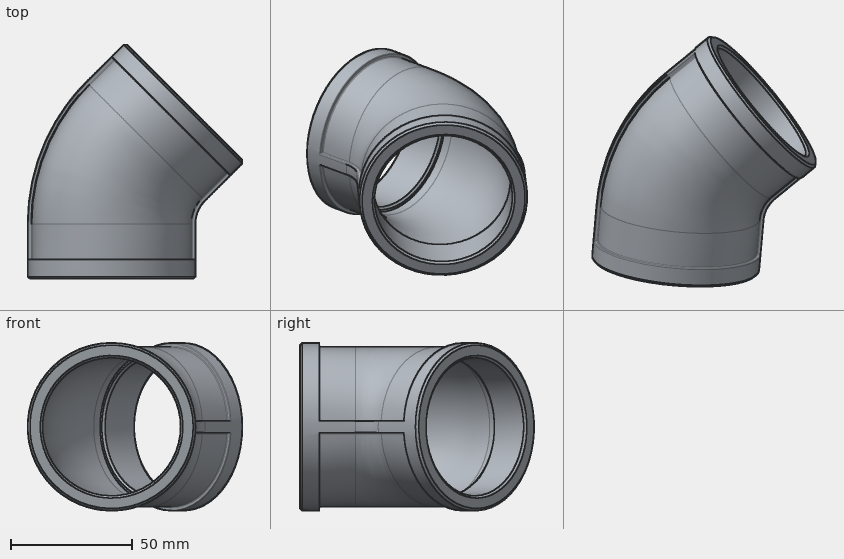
import cadquery as cq
import math


bend_angle = 45.0
bend_radius = 47.7
leg_length = 22.7

collar_radius = 69.0 / 2
body_radius = 32.9
collar_length = 8.0
collar_chamfer = 1.0
strap_width = 5.0
edge_fillet = 0.3

socket_radius = 56.65 / 2
socket_depth = 18.85
socket_chamfer = 1.0
bend_bore_radius = 60.6 / 2

bend_centre = (bend_radius, leg_length, 0)
half_angle = math.radians(bend_angle / 2)
bisector_end = (
    bend_radius - bend_radius * math.cos(half_angle),
    leg_length + bend_radius * math.sin(half_angle),
    0,
)

axis_angle = math.radians(90 - bend_angle)
upper_axis = cq.Vector(math.cos(axis_angle), math.sin(axis_angle), 0)
lower_mouth = cq.selectors.DirectionMinMaxSelector(cq.Vector(0, -1, 0))
upper_mouth = cq.selectors.DirectionMinMaxSelector(upper_axis)


def at_both_ends(shape):
    """Join a lower-leg shape with its copy turned about the bend's bisector."""
    return shape.union(shape.rotate(bend_centre, bisector_end, 180))


def leg_disc(radius, start, length):
    """Cylinder on the lower leg's axis, starting at a distance from the mouth."""
    return cq.Workplane("XZ", origin=(0, start, 0)).circle(radius).extrude(-length)


def leg_cone(start, start_radius, length, end_radius):
    """Cone on the lower leg's axis, starting at a distance from the mouth."""
    return (
        cq.Workplane("XZ", origin=(0, start, 0))
        .circle(start_radius)
        .workplane(offset=-length)
        .circle(end_radius)
        .loft()
    )


def elbow(radius, end_inset=0):
    """Solid bent rod on the centreline, stopping short of each mouth by the inset."""
    bend = (
        cq.Workplane("XZ", origin=(0, leg_length, 0))
        .circle(radius)
        .revolve(bend_angle, (bend_radius, 0), (bend_radius, -1))
    )
    return bend.union(at_both_ends(leg_disc(radius, end_inset, leg_length - end_inset)))


def raised_zones():
    """Regions where the wall is thick: both collars and a strap in the bend plane."""
    beyond_part = 2 * (bend_radius + leg_length + collar_radius)
    strap = cq.Workplane("XY").box(beyond_part, beyond_part, strap_width)
    collar = leg_disc(collar_radius, 0, collar_length)
    return strap.union(at_both_ends(collar))


def outer_form():
    """Elbow without its bore, with bevelled mouths and rounded collar and strap edges."""
    raised = elbow(collar_radius).intersect(raised_zones())
    form = elbow(body_radius).union(raised)
    for mouth in (lower_mouth, upper_mouth):
        form = form.faces(mouth).edges().chamfer(collar_chamfer)
    walls = form.faces("%PLANE").faces(cq.selectors.InverseSelector(lower_mouth + upper_mouth))
    return form.newObject(walls.edges().vals()).fillet(edge_fillet)


def socket():
    """Lower socket, bevelled at its mouth and at its inner end."""
    bevel_radius = socket_radius + socket_chamfer
    mouth_bevel = leg_cone(0, bevel_radius, socket_chamfer, socket_radius)
    inner_bevel = leg_cone(socket_depth - socket_chamfer, socket_radius, socket_chamfer, bevel_radius)
    return leg_disc(socket_radius, 0, socket_depth).union(mouth_bevel).union(inner_bevel)


bend_bore = elbow(bend_bore_radius, socket_depth)
sockets = at_both_ends(socket())
result = outer_form().cut(bend_bore).cut(sockets)